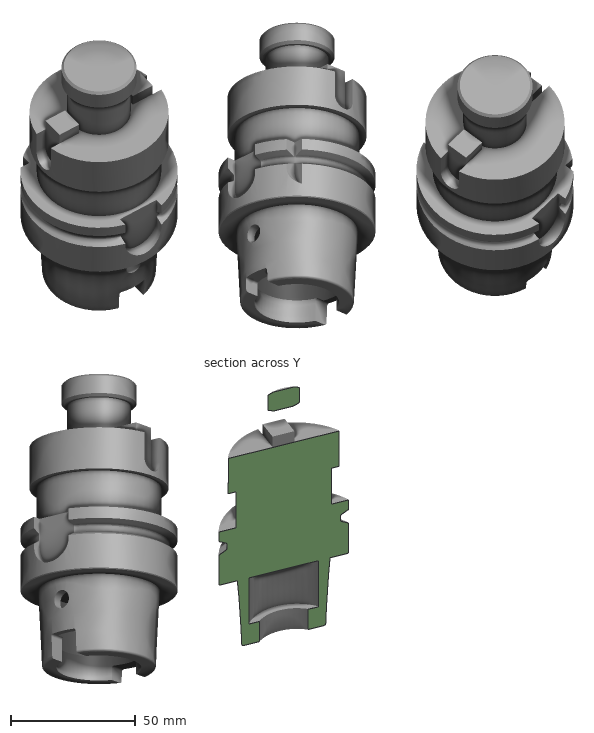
import cadquery as cq
import math

FLANGE_BOTTOM = 32.0
FLANGE_TOP = 58.0
SHOULDER_BOTTOM = 75.1
SHOULDER_TOP = 92.4
PILOT_TOP = 109.6
OVERALL_HEIGHT = 119

SHANK_ROOT_RADIUS = 24.4
SHANK_TAPER = 1 / 20
SHANK_END_ROUND = 1.1

MOUTH_RADIUS = 17.0
CHAMBER_RADIUS = 20.2
CHAMBER_BOTTOM = 10.0
CHAMBER_TOP = FLANGE_BOTTOM

DRIVE_SLOT_WIDTH = 12.5
DRIVE_SLOT_ROUND = 1.0
SHALLOW_DRIVE_SLOT_HEIGHT = 6
DEEP_DRIVE_SLOT_HEIGHT = 10.0
CROSS_HOLE_DIAMETER = 7.5
CROSS_HOLE_HEIGHT = 23.1

FLANGE_RADIUS = 31.49
FLANGE_CHAMFER = 0.4
GROOVE_HEIGHT = 50
GROOVE_MOUTH_WIDTH = 6.4
GROOVE_FLOOR_RADIUS = 28.3
GROOVE_FLANK_ANGLE = 30
GROOVE_FLOOR_ROUND = 0.6

KEYWAY_BOTTOM = 36.9
KEYWAY_FLOOR = 26.5
NARROW_KEYWAY_WIDTH = 16.0
WIDE_KEYWAY_WIDTH = 18.0
NOTCH_CORNER = 20.0

NECK_RADIUS = 25
SHOULDER_RADIUS = 27.9
PILOT_RADIUS = 12.7

KEY_WIDTH = 9.6
KEY_BOTTOM = 77.1
KEY_TOP = 97.4
KEY_INNER = 13.3
KEY_OUTER = 23.1

HEAD_RADIUS = 30.1 / 2
HEAD_TOP_CHAMFER = 1.0
HEAD_BOTTOM_CHAMFER = 1.1


def disc(radius, bottom, top):
    """Cylinder on the part axis between two heights."""
    return cq.Workplane("XY").workplane(offset=bottom).circle(radius).extrude(top - bottom)


def u_solid(plane, width, bottom, top, length):
    """Half-round-bottomed block, extruded along the normal of the given plane."""
    radius = width / 2
    return (
        cq.Workplane(plane)
        .moveTo(-radius, top)
        .lineTo(-radius, bottom + radius)
        .threePointArc((0, bottom), (radius, bottom + radius))
        .lineTo(radius, top)
        .close()
        .extrude(length)
    )


def outward_plane(side, x, y=0):
    """Vertical plane at (x, y) whose normal points to +X (side 1) or -X (side -1)."""
    return cq.Plane(origin=(x, y, 0), xDir=(0, side, 0), normal=(side, 0, 0))


def make_shank():
    end_radius = SHANK_ROOT_RADIUS - FLANGE_BOTTOM * SHANK_TAPER
    taper = (
        cq.Workplane("XZ")
        .polyline([(0, 0), (end_radius, 0), (SHANK_ROOT_RADIUS, FLANGE_BOTTOM), (0, FLANGE_BOTTOM)])
        .close()
        .revolve(360, (0, 0), (0, 1))
    )
    return taper.faces("<Z").edges().fillet(SHANK_END_ROUND)


def stepped_bore():
    mouth = disc(MOUTH_RADIUS, 0, CHAMBER_BOTTOM)
    return mouth.union(disc(CHAMBER_RADIUS, CHAMBER_BOTTOM, CHAMBER_TOP))


def drive_slot(side, height):
    """Slot across one side of the shank end, with rounded upper corners."""
    return (
        cq.Workplane("XY")
        .box(FLANGE_RADIUS, DRIVE_SLOT_WIDTH, 2 * height)
        .edges("|X")
        .fillet(DRIVE_SLOT_ROUND)
        .translate((side * FLANGE_RADIUS / 2, 0, 0))
    )


def cross_hole():
    return (
        cq.Workplane("YZ")
        .center(0, CROSS_HOLE_HEIGHT)
        .circle(CROSS_HOLE_DIAMETER / 2)
        .extrude(FLANGE_RADIUS, both=True)
    )


def make_groove():
    """Ring that cuts the V groove, with rounded corners at its floor."""
    depth = FLANGE_RADIUS - GROOVE_FLOOR_RADIUS
    mouth_half = GROOVE_MOUTH_WIDTH / 2
    floor_half = mouth_half - depth * math.tan(math.radians(GROOVE_FLANK_ANGLE))
    ring = (
        cq.Workplane("XZ")
        .polyline(
            [
                (FLANGE_RADIUS, GROOVE_HEIGHT - mouth_half),
                (FLANGE_RADIUS, GROOVE_HEIGHT + mouth_half),
                (GROOVE_FLOOR_RADIUS, GROOVE_HEIGHT + floor_half),
                (GROOVE_FLOOR_RADIUS, GROOVE_HEIGHT - floor_half),
            ]
        )
        .close()
        .revolve(360, (0, 0), (0, 1))
    )
    floor_edges = cq.selectors.RadiusNthSelector(0)
    return ring.edges(floor_edges).fillet(GROOVE_FLOOR_ROUND)


def keyway(side, width):
    plane = outward_plane(side, side * KEYWAY_FLOOR)
    return u_solid(plane, width, KEYWAY_BOTTOM, FLANGE_TOP, FLANGE_RADIUS)


def corner_notch():
    """Slot of the narrow keyway's shape, set off so that only its rounded edge cuts the rim."""
    slot_centre = -NOTCH_CORNER - NARROW_KEYWAY_WIDTH / 2
    plane = outward_plane(-1, -NOTCH_CORNER, slot_centre)
    return u_solid(plane, NARROW_KEYWAY_WIDTH, KEYWAY_BOTTOM, FLANGE_TOP, FLANGE_RADIUS)


def make_flange():
    flange = disc(FLANGE_RADIUS, FLANGE_BOTTOM, FLANGE_TOP)
    flange = flange.faces("<Z").edges().chamfer(FLANGE_CHAMFER)
    return (
        flange.cut(make_groove())
        .cut(keyway(-1, NARROW_KEYWAY_WIDTH))
        .cut(keyway(1, WIDE_KEYWAY_WIDTH))
        .cut(corner_notch())
    )


def key_block(side, outer):
    """Key shape on the +Y or -Y side, from the key's inner face out to the given distance."""
    plane = cq.Plane(origin=(0, side * KEY_INNER, 0), xDir=(-side, 0, 0), normal=(0, side, 0))
    return u_solid(plane, KEY_WIDTH, KEY_BOTTOM, KEY_TOP, outer - KEY_INNER)


def make_arbor():
    arbor = make_shank().union(make_flange())
    arbor = arbor.union(disc(NECK_RADIUS, FLANGE_TOP, SHOULDER_BOTTOM))
    arbor = arbor.union(disc(SHOULDER_RADIUS, SHOULDER_BOTTOM, SHOULDER_TOP))
    arbor = arbor.union(disc(PILOT_RADIUS, SHOULDER_TOP, PILOT_TOP))
    arbor = arbor.cut(stepped_bore())
    arbor = arbor.cut(drive_slot(-1, SHALLOW_DRIVE_SLOT_HEIGHT))
    arbor = arbor.cut(drive_slot(1, DEEP_DRIVE_SLOT_HEIGHT))
    arbor = arbor.cut(cross_hole())
    for side in (-1, 1):
        arbor = arbor.cut(key_block(side, FLANGE_RADIUS))
    return arbor


def make_drive_key(side):
    return key_block(side, KEY_OUTER)


def make_screw_head():
    head = disc(HEAD_RADIUS, PILOT_TOP, OVERALL_HEIGHT)
    head = head.faces(">Z").edges().chamfer(HEAD_TOP_CHAMFER)
    return head.faces("<Z").edges().chamfer(HEAD_BOTTOM_CHAMFER)


arbor = make_arbor()
drive_keys = [make_drive_key(side) for side in (-1, 1)]
screw_head = make_screw_head()

result = cq.Compound.makeCompound([arbor.val(), *[key.val() for key in drive_keys], screw_head.val()])